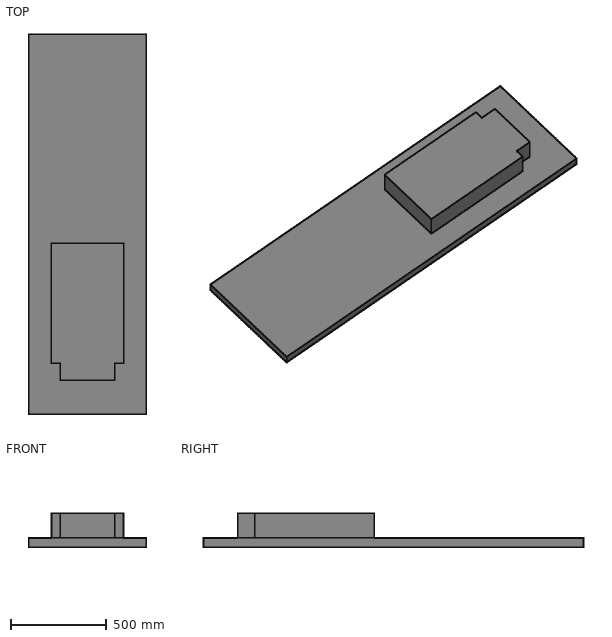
import cadquery as cq

plate_width = 618.0
plate_length = 1995.0
plate_thickness = 50.0

total_height = 180.0
block_height = total_height - plate_thickness
block_width = 380.0
block_length = 718.0
nose_width = 283.0
nose_length = 90.0
front_margin = 180.0


def box_on(width, length, height, y_start, z_start):
    """Box centred on X, growing toward +Y and +Z from its start position."""
    return (
        cq.Workplane("XY")
        .box(width, length, height, centered=(True, False, False))
        .translate((0, y_start, z_start))
    )


plate_front = -plate_length / 2
nose_front = plate_front + front_margin
body_front = nose_front + nose_length
body_length = block_length - nose_length

plate = box_on(plate_width, plate_length, plate_thickness, plate_front, 0)
body = box_on(block_width, body_length, block_height, body_front, plate_thickness)
nose = box_on(nose_width, nose_length, block_height, nose_front, plate_thickness)

result = plate.union(body).union(nose)